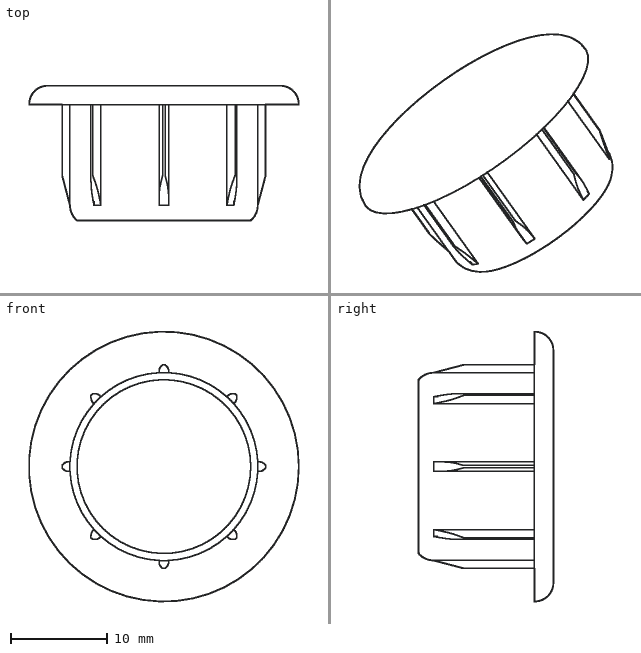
import cadquery as cq

flange_diameter = 28.0
total_length = 14.0
flange_thickness = 2.0
flange_round = 1.95

barrel_diameter = 19.5
bore_diameter = 18.0
tip_round_length = 1.6
cap_thickness = 2.0

rib_count = 8
rib_circle_diameter = 21.1
rib_width = 1.0
rib_crest_width = 0.25
rib_crest_chamfer = 0.17
rib_dome_height = 0.67
rib_taper_length = 3.08

barrel_radius = barrel_diameter / 2
bore_radius = bore_diameter / 2
flange_radius = flange_diameter / 2
rib_outer_radius = rib_circle_diameter / 2
barrel_length = total_length - flange_thickness
rib_length = barrel_length - tip_round_length


def make_flange():
    disc = cq.Workplane("XZ").circle(flange_radius).extrude(-flange_thickness)
    return disc.faces(">Y").edges().fillet(flange_round)


def make_barrel():
    """Solid barrel whose free end curves inward from the side wall to the bore edge."""
    round_start = tip_round_length - barrel_length
    return (
        cq.Workplane("XY")
        .moveTo(0, 0)
        .lineTo(barrel_radius, 0)
        .lineTo(barrel_radius, round_start)
        .tangentArcPoint((bore_radius, -barrel_length), relative=False)
        .lineTo(0, -barrel_length)
        .close()
        .revolve(360, (0, 0, 0), (0, 1, 0))
    )


def make_rib():
    """Domed rib on the +Z side, ramped down to the barrel at its free end."""
    half_width = rib_width / 2
    half_crest = rib_crest_width / 2
    flank_top = rib_outer_radius - rib_crest_chamfer
    flank_top_x = half_crest + rib_crest_chamfer
    flank_base = rib_outer_radius - rib_dome_height
    half_section = (
        cq.Workplane("XZ")
        .moveTo(0, bore_radius)
        .lineTo(half_width, bore_radius)
        .lineTo(half_width, flank_base)
        .tangentArcPoint((flank_top_x, flank_top), relative=False)
        .lineTo(half_crest, rib_outer_radius)
        .lineTo(0, rib_outer_radius)
        .close()
        .extrude(rib_length)
    )
    bar = half_section.union(half_section.mirror("YZ"))
    side_profile = (
        cq.Workplane("YZ")
        .moveTo(0, bore_radius)
        .lineTo(0, rib_outer_radius)
        .lineTo(rib_taper_length - rib_length, rib_outer_radius)
        .lineTo(-rib_length, barrel_radius)
        .lineTo(-rib_length, bore_radius)
        .close()
        .extrude(half_width, both=True)
    )
    return bar.intersect(side_profile)


result = make_flange().union(make_barrel())
rib = make_rib()
for index in range(rib_count):
    angle = index * 360 / rib_count
    result = result.union(rib.rotate((0, 0, 0), (0, 1, 0), angle))

bore_depth = total_length - cap_thickness
bore = cq.Workplane("XZ", origin=(0, -barrel_length, 0)).circle(bore_radius).extrude(-bore_depth)
result = result.cut(bore)